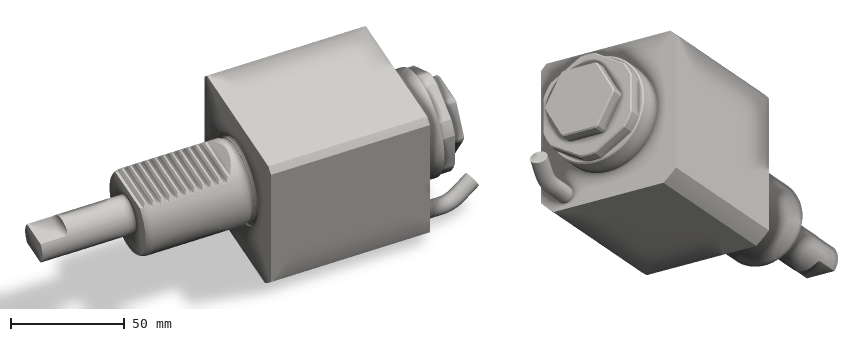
import cadquery as cq
import math


block_width = 70.0
block_top = 35.0
block_bottom = -38.0
block_length = 76.9
corner_diameter = 95.0

recess_diameter = 43.2
recess_depth = 1.0

shank_diameter = 40.0
collar_diameter = 39.5
collar_end = 1.0
neck_diameter = 38.7
neck_end = 2.0
neck_cone_length = 1.5
shank_length = 53.3
lead_in_length = 3.0
lead_in_depth = 1.0

ramp_start = 5.3
crest_height = 16.0
valley_height = 14.2
first_valley = 12.1
valley_width = 0.6
flank_length = 1.34
serration_length = 40.0
tooth_count = 10
tooth_pitch = serration_length / tooth_count

shaft_diameter = 18.0
shaft_end = 98.7
tang_length = 13.5
tang_thickness = 11.0
tang_fillet = 2.0

flange_diameter = 51.0
flange_length = 11.7
big_nut_flats = 46.0
big_nut_diameter = 49.3
big_nut_length = 6.2
small_nut_flats = 31.9
small_nut_diameter = 36.0
small_nut_length = 6.8
edge_chamfer = 0.6

pipe_diameter = 8.0
pipe_x = 22.2
pipe_z = -31.3
pipe_straight = 10.9
pipe_bend_radius = 17.7
pipe_bend_angle = 30.0
pipe_bend_heading = 120.0
overall_length = 205.5


def cylinder(diameter, start, end):
    """Cylinder on the Y axis between two Y positions."""
    plane = cq.Workplane("XZ", origin=(0, end, 0))
    return plane.circle(diameter / 2).extrude(end - start)


def make_block():
    height = block_top - block_bottom
    middle = (block_top + block_bottom) / 2
    box = cq.Workplane("XY").box(block_width, block_length, height)
    box = box.translate((0, block_length / 2, middle))
    box = box.intersect(cylinder(corner_diameter, 0, block_length))
    return box.cut(cylinder(recess_diameter, 0, recess_depth))


def make_shank():
    collar_radius = collar_diameter / 2
    neck_radius = neck_diameter / 2
    radius = shank_diameter / 2
    profile = (
        cq.Workplane("XY")
        .moveTo(0, recess_depth)
        .lineTo(collar_radius, recess_depth)
        .lineTo(collar_radius, -collar_end)
        .lineTo(neck_radius, -collar_end)
        .lineTo(neck_radius, -neck_end)
        .lineTo(radius, -neck_end - neck_cone_length)
        .lineTo(radius, lead_in_length - shank_length)
        .tangentArcPoint((radius - lead_in_depth, -shank_length), relative=False)
        .lineTo(0, -shank_length)
        .close()
    )
    return profile.revolve(360, (0, 0), (0, 1))


def make_serration_cutter():
    """Everything above the ramp, the teeth and the last valley."""
    radius = shank_diameter / 2
    clearance = 2.0
    ramp_end = ramp_start + radius - crest_height
    points = [
        (clearance - ramp_start, radius + clearance),
        (-ramp_end, crest_height),
    ]
    for tooth in range(tooth_count):
        valley = -first_valley - tooth * tooth_pitch
        for side in (1, -1):
            corner = valley + side * valley_width / 2
            groove = [(corner + side * flank_length, crest_height), (corner, valley_height)]
            points += groove[::side]
    last_corner = -first_valley - serration_length + valley_width / 2
    points += [
        (last_corner + flank_length, crest_height),
        (last_corner, valley_height),
        (-shank_length - clearance, valley_height),
        (-shank_length - clearance, radius + clearance),
    ]
    outline = cq.Workplane("YZ").polyline(points).close()
    return outline.extrude(radius, both=True)


def make_shaft():
    shaft = cylinder(shaft_diameter, -shaft_end, -shank_length)
    flat_height = (shaft_diameter - tang_thickness) / 2
    flat_cut = (
        cq.Workplane("XY")
        .box(shaft_diameter, tang_length, 2 * flat_height)
        .edges(">Y and <Z")
        .fillet(tang_fillet)
        .translate((0, tang_length / 2 - shaft_end, tang_thickness / 2 + flat_height))
    )
    shaft = shaft.cut(flat_cut)
    return shaft.cut(flat_cut.mirror("XY"))


def make_nut(flats, diameter, start, length, turn):
    """Hexagon with its corners turned down to a diameter."""
    corner_to_corner = flats / math.cos(math.radians(30))
    hexagon = (
        cq.Workplane("XZ", origin=(0, start + length, 0))
        .polygon(6, corner_to_corner)
        .extrude(length)
        .rotate((0, 0, 0), (0, 1, 0), turn)
    )
    return hexagon.intersect(cylinder(diameter, start, start + length))


def make_rear():
    flange_end = block_length + flange_length
    big_nut_end = flange_end + big_nut_length
    flange = cylinder(flange_diameter, block_length, flange_end)
    flange = flange.faces(">Y").chamfer(edge_chamfer)
    big_nut = make_nut(big_nut_flats, big_nut_diameter, flange_end, big_nut_length, 30)
    big_nut = big_nut.faces(">Y").chamfer(edge_chamfer)
    small_nut = make_nut(small_nut_flats, small_nut_diameter, big_nut_end, small_nut_length, 0)
    small_nut = small_nut.faces(">Y").chamfer(edge_chamfer)
    return flange.union(big_nut).union(small_nut)


def make_pipe():
    """Pipe bent in the YZ plane, then turned about its own start axis."""
    angle = math.radians(pipe_bend_angle)
    half = angle / 2
    bend_start = pipe_straight
    middle = (
        bend_start + pipe_bend_radius * math.sin(half),
        pipe_bend_radius * (1 - math.cos(half)),
    )
    bend_end = (
        bend_start + pipe_bend_radius * math.sin(angle),
        pipe_bend_radius * (1 - math.cos(angle)),
    )
    tip_overhang = pipe_diameter / 2 * math.sin(angle)
    tip_y = overall_length - shaft_end - block_length - tip_overhang
    tip = (tip_y, bend_end[1] + (tip_y - bend_end[0]) * math.tan(angle))
    path = (
        cq.Workplane("YZ")
        .lineTo(bend_start, 0)
        .threePointArc(middle, bend_end)
        .lineTo(*tip)
    )
    pipe = cq.Workplane("XZ").circle(pipe_diameter / 2).sweep(path)
    pipe = pipe.rotate((0, 0, 0), (0, 1, 0), 90 - pipe_bend_heading)
    return pipe.translate((pipe_x, block_length, pipe_z))


shank = make_shank().cut(make_serration_cutter())
result = make_block().union(shank).union(make_shaft())
result = result.union(make_rear()).union(make_pipe())